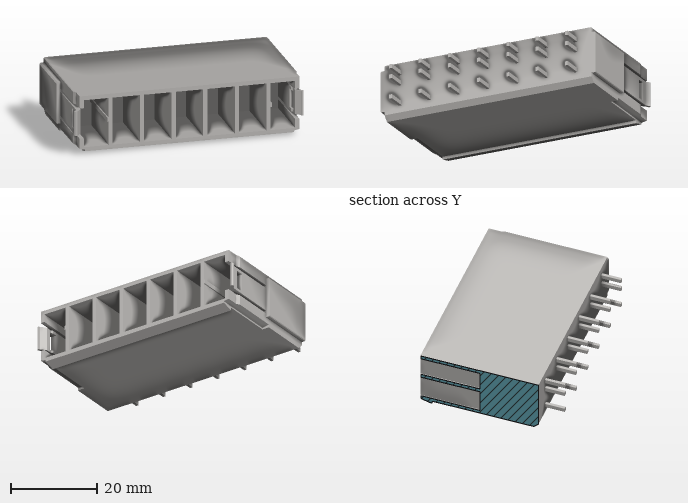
import cadquery as cq


body_length = 29.3
body_height = 13.6
half_width = 27.0
top_edge_chamfer = 0.15
foot_chamfer = 1.25

narrowing_start = 25.25
narrowing_end = 26.2
narrowing_inset = 0.45

underside_start = 13.55
underside_bevel_top = 0.75
underside_bevel_bottom = 0.4
lip_half_width = 25.2
lip_start = 26.4
lip_drop = 0.75

guide_length = 14.65
guide_half_span = 28.05
guide_bottom = 2.15
guide_top = 12.35
guide_top_chamfer = 0.35
guide_bottom_chamfer = 0.15

pole_count = 7
pole_pitch = 7.65
pin_length = 4.95
pin_width = 0.75
pin_height = 1.0
pin_levels = (3.5, 8.55, 11.05)

wall = 1.0
end_wall = 1.45
cavity_half_width = half_width - end_wall
partition_rib_bottom = 6.75
partition_rib_top = 7.8
partition_rib_depth = 0.3

latch_bottom = 3.95
latch_top = 9.9
slit_width = 0.75
latch_thinning_start = 25.8
latch_end_thickness = 1.1
flare_start = 27.85
flare_length = 0.85
flare_height = 0.7
flare_hollow = 0.1
tip_thickness = 0.45
tip_rounding = 0.15
window_start = 24.5
window_end = 26.45
window_bottom = 4.6
window_top = 9.15


def box(x0, x1, y0, y1, z0, z1):
    """Box between two opposite corners."""
    return cq.Workplane("XY").box(x1 - x0, y1 - y0, z1 - z0, centered=False).translate((x0, y0, z0))


def both_ends(shape):
    """A shape at the -Y end together with its mirror image at the +Y end."""
    return shape.union(shape.mirror("XZ"))


def housing():
    """Block with a chamfered foot, lightly broken top edges and a narrowed plug end."""
    block = box(0, body_length, -half_width, half_width, 0, body_height)
    block = block.edges("|Y and <X and <Z").chamfer(foot_chamfer)
    block = block.edges("|X and >Z").chamfer(top_edge_chamfer)
    narrowing = (
        cq.Workplane("XY")
        .moveTo(narrowing_start, -half_width)
        .lineTo(narrowing_end, -half_width + narrowing_inset)
        .lineTo(body_length, -half_width + narrowing_inset)
        .lineTo(body_length, -half_width)
        .close()
        .extrude(body_height)
    )
    underside_bevel = (
        cq.Workplane("YZ", origin=(underside_start, 0, 0))
        .moveTo(-half_width, 0)
        .lineTo(-half_width, underside_bevel_top)
        .lineTo(-lip_half_width, underside_bevel_bottom)
        .lineTo(-lip_half_width, 0)
        .close()
        .extrude(body_length - underside_start)
    )
    return block.cut(both_ends(narrowing)).cut(both_ends(underside_bevel))


def lip():
    """Wedge along the underside, tapering out at the plug end."""
    return (
        cq.Workplane("XZ", origin=(0, lip_half_width, 0))
        .moveTo(lip_start, 0)
        .lineTo(lip_start, -lip_drop)
        .lineTo(body_length, 0)
        .close()
        .extrude(2 * lip_half_width)
    )


def guide():
    """Raised block on the -Y end, with its outer long edges chamfered."""
    block = box(0, guide_length, -guide_half_span, -half_width, guide_bottom, guide_top)
    block = block.edges("|X and <Y and >Z").chamfer(guide_top_chamfer)
    return block.edges("|X and <Y and <Z").chamfer(guide_bottom_chamfer)


def chambers():
    """Row of chambers open to +X, with a partition between neighbouring poles."""
    space = box(guide_length, body_length, -cavity_half_width, cavity_half_width, wall, body_height - wall)
    for gap in range(pole_count - 1):
        y = (gap - (pole_count - 2) / 2) * pole_pitch
        space = space.cut(box(guide_length, body_length, y - wall / 2, y + wall / 2, 0, body_height))
    partition_face = -(pole_count / 2 - 1) * pole_pitch - wall / 2
    rib = box(
        guide_length,
        body_length,
        partition_face - partition_rib_depth,
        partition_face,
        partition_rib_bottom,
        partition_rib_top,
    )
    return space.cut(both_ends(rib))


def latch_opening():
    """Opening through the -Y end wall that holds the latch arm and its two slits."""
    return box(
        guide_length,
        body_length,
        -half_width,
        -cavity_half_width,
        latch_bottom - slit_width,
        latch_top + slit_width,
    )


def latch():
    """Arm at the -Y end: thinned near its free end, flared outward, with a window."""
    thinning = end_wall - latch_end_thickness
    inner_face = -half_width + latch_end_thickness
    crest_x = flare_start + flare_length
    crest_y = -half_width - flare_height
    tip_y = crest_y + tip_rounding
    flare_middle = (
        flare_start + flare_length / 2 + flare_hollow / 2,
        -half_width - flare_height / 2 + flare_hollow / 2,
    )
    tip_middle = ((crest_x + body_length) / 2, crest_y)
    arm = (
        cq.Workplane("XY", origin=(0, 0, latch_bottom))
        .moveTo(guide_length, -half_width)
        .lineTo(flare_start, -half_width)
        .threePointArc(flare_middle, (crest_x, crest_y))
        .threePointArc(tip_middle, (body_length, tip_y))
        .lineTo(body_length, tip_y + tip_thickness)
        .lineTo(flare_start + latch_end_thickness, -half_width)
        .lineTo(flare_start, inner_face)
        .lineTo(latch_thinning_start + thinning, inner_face)
        .lineTo(latch_thinning_start, -cavity_half_width)
        .lineTo(guide_length, -cavity_half_width)
        .close()
        .extrude(latch_top - latch_bottom)
    )
    window = box(window_start, window_end, -half_width, -cavity_half_width, window_bottom, window_top)
    return arm.cut(window)


def pins():
    """Solder pins in one column per pole."""
    spots = [
        ((pole - (pole_count - 1) / 2) * pole_pitch, level)
        for pole in range(pole_count)
        for level in pin_levels
    ]
    return cq.Workplane("YZ").pushPoints(spots).rect(pin_width, pin_height).extrude(-pin_length)


result = housing().cut(chambers()).cut(both_ends(latch_opening()))
result = result.union(both_ends(latch())).union(both_ends(guide())).union(lip()).union(pins())